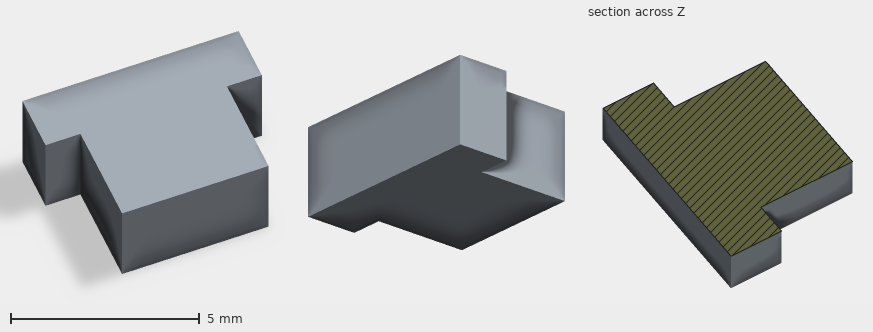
import cadquery as cq

height = 2.6
total_length = 4.51
stem_length = 2.9
head_width = 6.2
stem_width = 4.2

head_length = total_length - stem_length


def block(start_x, length, width):
    """Full-height block from start_x along +X, centred on Y and Z."""
    return (
        cq.Workplane("XY")
        .box(length, width, height, centered=(False, True, True))
        .translate((start_x, 0, 0))
    )


head_start = -total_length / 2
head = block(head_start, head_length, head_width)
stem = block(head_start + head_length, stem_length, stem_width)

result = head.union(stem)